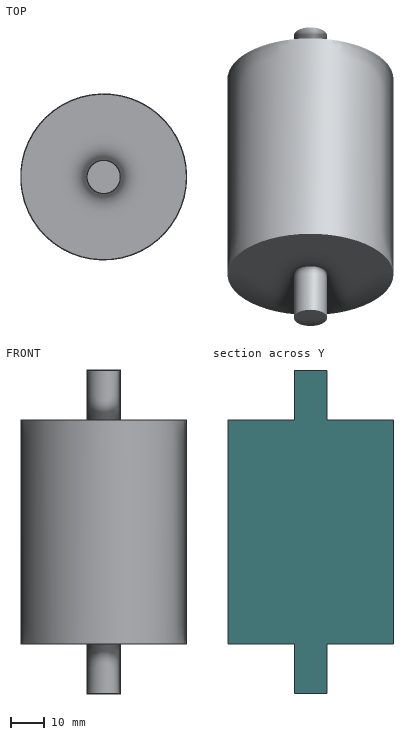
import cadquery as cq

drum_diameter = 50.0
drum_length = 67.5
journal_diameter = 10.0
journal_length = 15.0

overall_length = drum_length + 2 * journal_length


def centred_cylinder(diameter, length):
    """Cylinder along Z, centred on the origin."""
    return cq.Workplane("XY").cylinder(length, diameter / 2)


drum = centred_cylinder(drum_diameter, drum_length)

shaft = centred_cylinder(journal_diameter, overall_length)

result = drum.union(shaft)